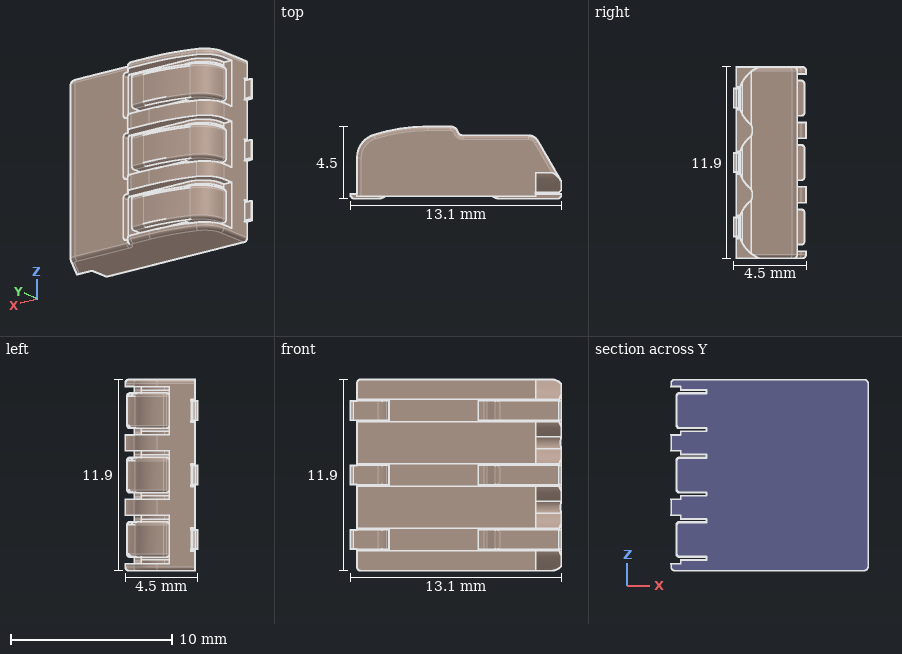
import cadquery as cq
import math


pole_pitch = 4.0
pole_count = 3
pole_heights = [(i - (pole_count - 1) / 2) * pole_pitch for i in range(pole_count)]

housing_length = 12.7
housing_width = 11.9
hump_top = 4.35
shoulder_top = 3.8
nose_start = 2.4
nose_radius = 1.5
crown_radius = 11.0
hump_end = 5.8
hump_drop_radius = 0.5
shoulder_blend_radius = 0.3
slope_start = 10.64
slope_angle = math.radians(60)
slope_radius = 0.7
side_fillet = 0.25
half_width = housing_width / 2

entry_start = 11.1
lobe_radius = 2.09
lobe_center = 2.22
valley_half_width = 0.365
valley_rise = 0.1
entry_chamfer = 0.14

groove_width = 1.4
groove_depth = 0.25
terminal_width = 1.2
terminal_thickness = 0.3
terminal_bottom = -0.15
terminal_chamfer = 0.16
front_foot_tip = -0.4
front_bend_start = 1.31
front_bend_radius = 0.72
front_bend_angle = math.radians(45)
rear_bend_start = 8.86
rear_bend_radius = 0.64
rear_bend_angle = math.radians(27)
rear_ramp_length = 0.5
rear_upper_radius = 0.45
rear_flat_end = 7.54
terminal_embed = 0.2

window_width = 3.0
window_floor = 1.6
window_rear = 6.8
cheek_gap = 2.54
cheek_front = 0.6
cheek_arc_start = 1.94
cheek_top = 3.34
window_back = 2.2
window_corner_radius = 0.2
button_width = 2.2
button_front = 0.33
button_arc_start = 1.99
button_nose_radius = 1.85
button_top = 4.25
button_crown_radius = 10.9
button_edge_fillet = 0.2
button_foot_fillet = 0.2


def on_circle(center, radius, angle):
    return (center[0] + radius * math.cos(angle), center[1] + radius * math.sin(angle))


def slab(outline, width, z_center=0.0):
    """Extrude a closed XY outline symmetrically about z_center."""
    return outline.extrude(width / 2, both=True).translate((0, 0, z_center))


def block(x_range, y_range, width, z_center=0.0):
    """Box spanning the X and Y ranges, centred on z_center."""
    outline = (
        cq.Workplane("XY")
        .moveTo(x_range[0], y_range[0])
        .lineTo(x_range[1], y_range[0])
        .lineTo(x_range[1], y_range[1])
        .lineTo(x_range[0], y_range[1])
        .close()
    )
    return slab(outline, width, z_center)


def nose_and_crown(front, arc_start, small_radius, large_radius, top):
    """Joint and end points of a vertical-to-horizontal curve made of two tangent arcs.

    The small arc leaves the vertical front at arc_start; the large arc ends level at top."""
    rise = top - arc_start
    joint_angle = math.acos((large_radius - rise) / (large_radius - small_radius))
    small_center = (front + small_radius, arc_start)
    joint = on_circle(small_center, small_radius, math.pi / 2 + joint_angle)
    end = (joint[0] + large_radius * math.sin(joint_angle), top)
    return joint, end


drop_radii = hump_drop_radius + shoulder_blend_radius
drop_angle = math.acos(1 - (hump_top - shoulder_top) / drop_radii)
shoulder_start = hump_end + drop_radii * math.sin(drop_angle)


def make_housing():
    nose_joint, crown_end = nose_and_crown(0, nose_start, nose_radius, crown_radius, hump_top)
    drop_joint = on_circle(
        (hump_end, hump_top - hump_drop_radius), hump_drop_radius, math.pi / 2 - drop_angle
    )
    slope_top = on_circle(
        (slope_start, shoulder_top - slope_radius), slope_radius, math.pi / 2 - slope_angle
    )
    slope_foot_y = slope_top[1] - (housing_length - slope_top[0]) * math.tan(slope_angle)
    outline = (
        cq.Workplane("XY")
        .moveTo(0, 0)
        .lineTo(0, nose_start)
        .tangentArcPoint(nose_joint, relative=False)
        .tangentArcPoint(crown_end, relative=False)
        .lineTo(hump_end, hump_top)
        .tangentArcPoint(drop_joint, relative=False)
        .tangentArcPoint((shoulder_start, shoulder_top), relative=False)
        .lineTo(slope_start, shoulder_top)
        .tangentArcPoint(slope_top, relative=False)
        .lineTo(housing_length, slope_foot_y)
        .lineTo(housing_length, 0)
        .close()
    )
    housing = slab(outline, housing_width)
    side_edges = housing.faces("|Z").edges("not(<Y or >X)")
    return side_edges.fillet(side_fillet)


def lobe_y(offset):
    """Height of the lobe surface at a distance along Z from its pole."""
    return lobe_center - math.sqrt(lobe_radius**2 - offset**2)


def cut_entry_scallops(housing):
    """Cut the underside behind the base to a row of lobes joined by rounded valleys."""
    lobe_reach = pole_pitch / 2 - valley_half_width
    valley_top = lobe_y(lobe_reach) + valley_rise
    first_pole = pole_heights[0]
    last_pole = pole_heights[-1]

    outline = cq.Workplane("YZ", origin=(entry_start, 0, 0)).moveTo(0, -half_width)
    outline = outline.lineTo(lobe_y(half_width + first_pole), -half_width)
    for z in pole_heights:
        end_offset = half_width - last_pole if z == last_pole else lobe_reach
        outline = outline.threePointArc((lobe_y(0), z), (lobe_y(end_offset), z + end_offset))
        if z != last_pole:
            valley_z = z + pole_pitch / 2
            outline = outline.threePointArc(
                (valley_top, valley_z), (lobe_y(lobe_reach), valley_z + valley_half_width)
            )
    scallops = outline.lineTo(0, half_width).close().extrude(housing_length - entry_start)
    flat = block((entry_start, housing_length), (0, groove_depth), housing_width)
    chamfer_outline = (
        cq.Workplane("XY")
        .moveTo(housing_length, groove_depth)
        .lineTo(housing_length, groove_depth + entry_chamfer)
        .lineTo(housing_length - entry_chamfer, groove_depth)
        .close()
    )
    return housing.cut(scallops).cut(flat).cut(slab(chamfer_outline, housing_width))


def cut_window(housing, z):
    """Open the front and top of one pole, leaving rounded cheeks on both sides of the button."""
    upper = block((0, window_rear), (cheek_top, hump_top), window_width, z)
    upper = upper.edges("|Y and >X").fillet(window_corner_radius)
    between_cheeks = block((0, window_back), (window_floor, cheek_top), cheek_gap, z)
    cheek_radius = cheek_top - cheek_arc_start
    above_cheeks = slab(
        cq.Workplane("XY")
        .moveTo(0, window_floor)
        .lineTo(cheek_front, window_floor)
        .lineTo(cheek_front, cheek_arc_start)
        .tangentArcPoint((cheek_front + cheek_radius, cheek_top), relative=False)
        .lineTo(0, cheek_top)
        .close(),
        window_width,
        z,
    )
    return housing.cut(upper).cut(between_cheeks).cut(above_cheeks)


def make_button(z):
    joint, crown_end = nose_and_crown(
        button_front, button_arc_start, button_nose_radius, button_crown_radius, button_top
    )
    outline = (
        cq.Workplane("XY")
        .moveTo(button_front, window_floor)
        .lineTo(button_front, button_arc_start)
        .tangentArcPoint(joint, relative=False)
        .tangentArcPoint(crown_end, relative=False)
        .lineTo(hump_end, button_top)
        .lineTo(hump_end, window_floor)
        .close()
    )
    button = slab(outline, button_width, z)
    button = button.edges("<X and <Y").fillet(button_foot_fillet)
    return button.faces("|Z").edges("not(<Y or >X)").fillet(button_edge_fillet)


def make_front_foot(z):
    """Solder foot under the buttons, bending up into the housing."""
    top = terminal_bottom + terminal_thickness
    inner_radius = front_bend_radius - terminal_thickness
    center = (front_bend_start, terminal_bottom + front_bend_radius)
    outer_end = on_circle(center, front_bend_radius, front_bend_angle - math.pi / 2)
    inner_end = on_circle(center, inner_radius, front_bend_angle - math.pi / 2)
    rise = groove_depth + terminal_embed - inner_end[1]
    run = rise / math.tan(front_bend_angle)
    outline = (
        cq.Workplane("XY")
        .moveTo(front_foot_tip, top)
        .lineTo(front_foot_tip, terminal_bottom + terminal_chamfer)
        .lineTo(front_foot_tip + terminal_chamfer, terminal_bottom)
        .lineTo(front_bend_start, terminal_bottom)
        .tangentArcPoint(outer_end, relative=False)
        .lineTo(outer_end[0] + run, outer_end[1] + rise)
        .lineTo(inner_end[0] + run, inner_end[1] + rise)
        .lineTo(*inner_end)
        .tangentArcPoint((front_bend_start, top), relative=False)
        .close()
    )
    return slab(outline, terminal_width, z)


def make_rear_foot(z):
    """Solder foot under the wire entries, ramping up to a short flat against the groove floor."""
    top = terminal_bottom + terminal_thickness
    center = (rear_bend_start, terminal_bottom + rear_bend_radius)
    ramp_foot = on_circle(center, rear_bend_radius, -math.pi / 2 - rear_bend_angle)
    ramp_top = (
        ramp_foot[0] - rear_ramp_length,
        ramp_foot[1] + rear_ramp_length * math.tan(rear_bend_angle),
    )
    flat_start = (
        ramp_top[0] - rear_upper_radius * math.sin(rear_bend_angle),
        ramp_top[1] + rear_upper_radius * (1 - math.cos(rear_bend_angle)),
    )
    embedded_top = flat_start[1] + terminal_thickness
    shift = terminal_thickness * math.tan(rear_bend_angle / 2)
    upper_rise = embedded_top - top
    upper_foot_x = rear_bend_start - shift
    outline = (
        cq.Workplane("XY")
        .moveTo(housing_length, top)
        .lineTo(housing_length, terminal_bottom + terminal_chamfer)
        .lineTo(housing_length - terminal_chamfer, terminal_bottom)
        .lineTo(rear_bend_start, terminal_bottom)
        .tangentArcPoint(ramp_foot, relative=False)
        .lineTo(*ramp_top)
        .tangentArcPoint(flat_start, relative=False)
        .lineTo(rear_flat_end, flat_start[1])
        .lineTo(rear_flat_end, embedded_top)
        .lineTo(upper_foot_x - upper_rise / math.tan(rear_bend_angle), embedded_top)
        .lineTo(upper_foot_x, top)
        .close()
    )
    return slab(outline, terminal_width, z)


housing = cut_entry_scallops(make_housing())
for z in pole_heights:
    housing = housing.cut(block((0, entry_start), (0, groove_depth), groove_width, z))
    housing = cut_window(housing, z)

result = housing
for z in pole_heights:
    result = result.union(make_button(z))
    result = result.union(make_front_foot(z))
    result = result.union(make_rear_foot(z))